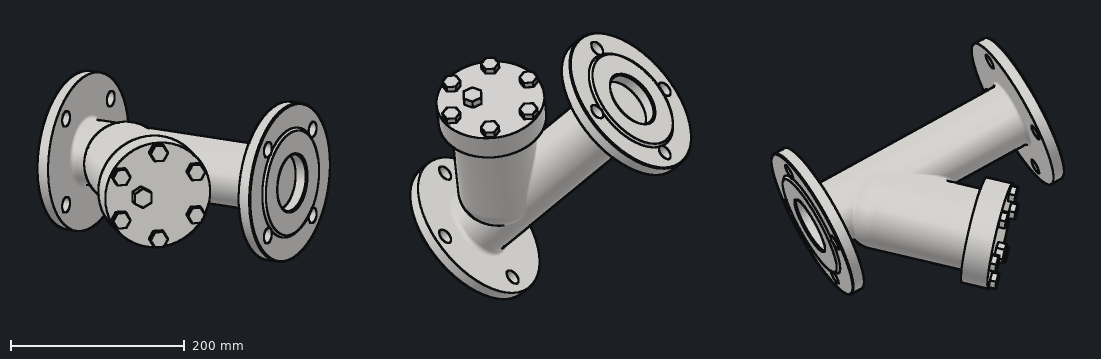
import cadquery as cq
import math

FACE_TO_FACE = 290.0
PIPE_DIAMETER = 76.1
PIPE_ROOT_FILLET = 5.0

FLANGE_DIAMETER = 185.0
FLANGE_THICKNESS = 18.0
FLANGE_EDGE_CHAMFER = 1.0
RAISED_FACE_DIAMETER = 122.0
RAISED_FACE_HEIGHT = 3.0
BOLT_CIRCLE_DIAMETER = 145.0
BOLT_HOLE_DIAMETER = 18.0
BOLT_HOLE_COUNT = 4
BORE_DIAMETER = 66.0
BORE_DEPTH = 15.0
BORE_CHAMFER = 1.5

BRANCH_ANGLE = 45.0
BRANCH_ORIGIN_X = -86.4
BRANCH_DIAMETER = 96.5
BRANCH_LENGTH = 175.0
BRANCH_END_FILLET = 32.0
BRANCH_END_OVERRUN = 2.0
BRANCH_ROOT_FILLET = 3.0

COVER_DIAMETER = 125.0
COVER_THICKNESS = 31.5
COVER_ROOT_FILLET = 3.0

COVER_BOLT_CIRCLE_DIAMETER = 103.0
COVER_BOLT_COUNT = 6
COVER_BOLT_ACROSS_FLATS = 18.0
COVER_BOLT_HEAD_HEIGHT = 7.5
PLUG_ACROSS_FLATS = 20.0
PLUG_HEIGHT = 10.0
PLUG_OFFSET = 20.0

HALF_LENGTH = FACE_TO_FACE / 2
COVER_INNER_FACE = BRANCH_LENGTH - COVER_THICKNESS
HEXAGON_SIDES = 6
HEXAGON_CORNER_RATIO = 1 / math.cos(math.pi / HEXAGON_SIDES)

HALF_WAY_ROUND = math.sqrt(0.5)


def branch_plane(distance):
    """Plane across the branch axis; local X points to -X and -Y, local Y to -Z."""
    angle = math.radians(BRANCH_ANGLE)
    outward = cq.Vector(math.cos(angle), -math.sin(angle), 0)
    origin = cq.Vector(BRANCH_ORIGIN_X, 0, 0) + outward * distance
    sideways = cq.Vector(-math.sin(angle), -math.cos(angle), 0)
    return cq.Plane(origin=origin, xDir=sideways, normal=outward)


def end_flange():
    """Flange, raised face and root fillet at the +X end, revolved about the X axis."""
    pipe_radius = PIPE_DIAMETER / 2
    flange_radius = FLANGE_DIAMETER / 2
    face_radius = RAISED_FACE_DIAMETER / 2
    front_x = HALF_LENGTH - RAISED_FACE_HEIGHT
    back_x = HALF_LENGTH - FLANGE_THICKNESS
    root_x = back_x - PIPE_ROOT_FILLET
    root_radius = pipe_radius + PIPE_ROOT_FILLET
    arc_offset = PIPE_ROOT_FILLET * HALF_WAY_ROUND
    return (
        cq.Workplane("XY")
        .moveTo(HALF_LENGTH, 0)
        .lineTo(HALF_LENGTH, face_radius)
        .lineTo(front_x, face_radius + RAISED_FACE_HEIGHT)
        .lineTo(front_x, flange_radius - FLANGE_EDGE_CHAMFER)
        .lineTo(front_x - FLANGE_EDGE_CHAMFER, flange_radius)
        .lineTo(back_x, flange_radius)
        .lineTo(back_x, root_radius)
        .threePointArc((root_x + arc_offset, root_radius - arc_offset), (root_x, pipe_radius))
        .lineTo(root_x, 0)
        .close()
        .revolve(360, (0, 0, 0), (1, 0, 0))
    )


def branch():
    """Round-ended branch cylinder, running from just past the pipe axis to the cover."""
    return (
        cq.Workplane(branch_plane(-BRANCH_END_OVERRUN))
        .circle(BRANCH_DIAMETER / 2)
        .extrude(COVER_INNER_FACE + BRANCH_END_OVERRUN)
        .faces(cq.selectors.NearestToPointSelector((BRANCH_ORIGIN_X, 0, 0)))
        .edges()
        .fillet(BRANCH_END_FILLET)
    )


def cover():
    """Cover disc with the fillet ring where the branch runs into it."""
    branch_radius = BRANCH_DIAMETER / 2
    ring_radius = branch_radius + COVER_ROOT_FILLET
    arc_offset = COVER_ROOT_FILLET * HALF_WAY_ROUND
    across = branch_plane(COVER_INNER_FACE)
    disc = cq.Workplane(across).circle(COVER_DIAMETER / 2).extrude(COVER_THICKNESS)
    section_plane = cq.Plane(origin=across.origin, xDir=across.xDir, normal=across.yDir * -1)
    ring = (
        cq.Workplane(section_plane)
        .lineTo(ring_radius, 0)
        .threePointArc(
            (ring_radius - arc_offset, arc_offset - COVER_ROOT_FILLET),
            (branch_radius, -COVER_ROOT_FILLET),
        )
        .lineTo(0, -COVER_ROOT_FILLET)
        .close()
        .revolve(360, (0, 0, 0), (0, 1, 0))
    )
    return disc.union(ring)


def cover_bolts():
    """Hexagon bolt heads spaced around the cover face, flats facing up and down."""
    return (
        cq.Workplane(branch_plane(BRANCH_LENGTH))
        .polarArray(COVER_BOLT_CIRCLE_DIAMETER / 2, 90, 360, COVER_BOLT_COUNT, rotate=False)
        .polygon(HEXAGON_SIDES, COVER_BOLT_ACROSS_FLATS * HEXAGON_CORNER_RATIO)
        .extrude(COVER_BOLT_HEAD_HEIGHT)
    )


def drain_plug():
    """Off-centre hexagon plug head, corners facing up and down."""
    return (
        cq.Workplane(branch_plane(BRANCH_LENGTH))
        .center(PLUG_OFFSET, 0)
        .transformed(rotate=(0, 0, 90))
        .polygon(HEXAGON_SIDES, PLUG_ACROSS_FLATS * HEXAGON_CORNER_RATIO)
        .extrude(PLUG_HEIGHT)
    )


def flange_cutters():
    """Blind bore with a chamfered mouth and the bolt holes, at both ends of the pipe."""
    bore_radius = BORE_DIAMETER / 2
    bore = (
        cq.Workplane("XY")
        .moveTo(HALF_LENGTH, 0)
        .lineTo(HALF_LENGTH, bore_radius + BORE_CHAMFER)
        .lineTo(HALF_LENGTH - BORE_CHAMFER, bore_radius)
        .lineTo(HALF_LENGTH - BORE_DEPTH, bore_radius)
        .lineTo(HALF_LENGTH - BORE_DEPTH, 0)
        .close()
        .revolve(360, (0, 0, 0), (1, 0, 0))
    )
    first_hole_angle = 180 / BOLT_HOLE_COUNT
    holes = (
        cq.Workplane("YZ", origin=(HALF_LENGTH - FLANGE_THICKNESS, 0, 0))
        .polarArray(BOLT_CIRCLE_DIAMETER / 2, first_hole_angle, 360, BOLT_HOLE_COUNT)
        .circle(BOLT_HOLE_DIAMETER / 2)
        .extrude(FLANGE_THICKNESS)
    )
    cutters = bore.union(holes)
    return cutters.union(cutters.mirror("YZ"))


def body():
    """Pipe and branch, blended along the line where they meet, with the end flanges."""
    pipe_length = FACE_TO_FACE - 2 * (FLANGE_THICKNESS + PIPE_ROOT_FILLET)
    pipe = (
        cq.Workplane("YZ", origin=(-pipe_length / 2, 0, 0))
        .circle(PIPE_DIAMETER / 2)
        .extrude(pipe_length)
    )
    joined = pipe.union(branch())
    blended = joined.edges("%BSPLINE").fillet(BRANCH_ROOT_FILLET)
    flange = end_flange()
    return blended.union(flange).union(flange.mirror("YZ")).clean()


result = body().union(cover()).union(cover_bolts()).union(drain_plug()).cut(flange_cutters())